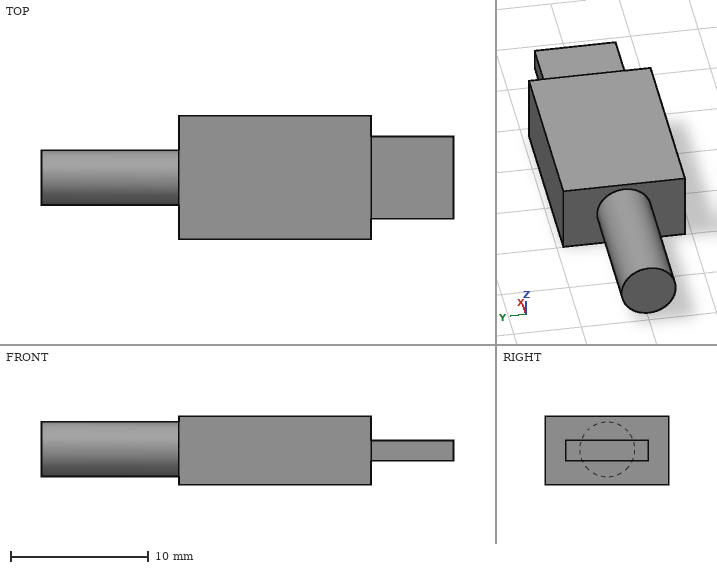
import cadquery as cq

body_length = 14.0
body_width = 9.0
body_height = 5.0

cable_length = 10.0
cable_diameter = 4.0
cable_rise = 0.1

plug_length = 6.0
plug_width = 6.0
plug_thickness = 1.5


def make_body():
    return cq.Workplane("XY").box(body_length, body_width, body_height)


def make_cable():
    end_plane = cq.Workplane("YZ", origin=(-body_length / 2, 0, cable_rise))
    return end_plane.circle(cable_diameter / 2).extrude(-cable_length)


def make_plug():
    end_plane = cq.Workplane("YZ", origin=(body_length / 2, 0, 0))
    return end_plane.rect(plug_width, plug_thickness).extrude(plug_length)


result = make_body().union(make_cable()).union(make_plug())